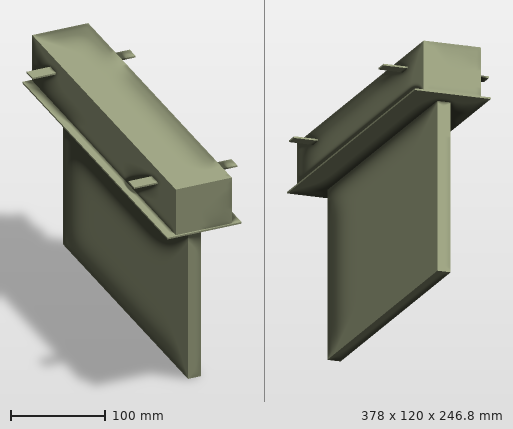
import cadquery as cq

flange_length = 378.0
flange_width = 86.0
sheet_thickness = 2.0

flange_end_margin = 2.0
housing_length = flange_length - 2 * flange_end_margin
housing_width = 65.0
housing_height = 55.0
housing_top = sheet_thickness + housing_height

panel_length = 326.0
panel_thickness = 15.0
panel_height = 189.8

strap_span = 120.0
strap_width = 15.0
strap_spacing = 265.0
strap_top_drop = 14.7
strap_bottom = housing_top - strap_top_drop - sheet_thickness


def block(length, width, height, bottom, center_x=0.0):
    """Box centred on Y = 0 and standing on the given bottom level."""
    return (
        cq.Workplane("XY")
        .box(length, width, height, centered=(True, True, False))
        .translate((center_x, 0, bottom))
    )


flange = block(flange_length, flange_width, sheet_thickness, 0)
housing = block(housing_length, housing_width, housing_height, sheet_thickness)
panel = block(panel_length, panel_thickness, panel_height, -panel_height)

result = flange.union(housing).union(panel)
for side in (-1, 1):
    strap_x = side * strap_spacing / 2
    result = result.union(block(strap_width, strap_span, sheet_thickness, strap_bottom, strap_x))